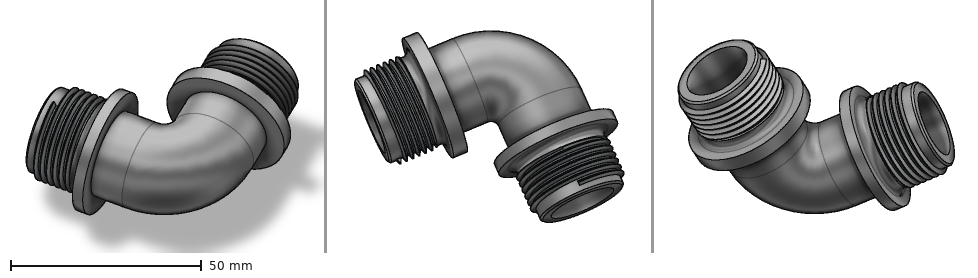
import cadquery as cq

overall_size = 59.0
flange_radius = 34.0 / 2
pipe_radius = 23.8 / 2
bore_radius = 17.8 / 2
bend_radius = 14.0

arm_length = overall_size - flange_radius
end_chamfer = 0.55
flange_face = 25.95
x_flange_thickness = 3.0
y_flange_thickness = 4.0

neck_fillet = 1.75
neck_length = 2.85
neck_foot_radius = 14.2
neck_end = flange_face + neck_length
neck_waist_radius = neck_foot_radius - neck_fillet
neck_rise = (neck_fillet**2 - (neck_length - neck_fillet) ** 2) ** 0.5
neck_end_radius = neck_foot_radius - neck_rise

thread_turns = 6
thread_length = 10.85
thread_pitch = thread_length / thread_turns
thread_start_gap = 2.65
thread_radius = 13.15
thread_base_width = 1.4
thread_crest_width = 0.2
thread_overlap = 0.1


def arm_body(flange_thickness):
    """Hollow arm along +Z: pipe, flange, concave neck and chamfered end."""
    profile = (
        cq.Workplane("XZ")
        .moveTo(bore_radius, bend_radius)
        .lineTo(pipe_radius, bend_radius)
        .lineTo(pipe_radius, flange_face - flange_thickness)
        .lineTo(flange_radius, flange_face - flange_thickness)
        .lineTo(flange_radius, flange_face)
        .lineTo(neck_foot_radius, flange_face)
        .threePointArc((neck_waist_radius, flange_face + neck_fillet), (neck_end_radius, neck_end))
        .lineTo(pipe_radius, neck_end)
        .lineTo(pipe_radius, arm_length - end_chamfer)
        .lineTo(pipe_radius - end_chamfer, arm_length)
        .lineTo(bore_radius, arm_length)
        .close()
    )
    return profile.revolve(360, (0, 0, 0), (0, 1, 0))


def arm_thread():
    """Helical ridge around +Z whose first tooth, nearest the open end, starts on the +X side."""
    helix_base = arm_length - thread_start_gap - thread_length
    root_radius = pipe_radius - thread_overlap
    half_base = thread_base_width / 2
    half_crest = thread_crest_width / 2
    helix = cq.Wire.makeHelix(thread_pitch, thread_length, root_radius)
    tooth = cq.Workplane("XZ").polyline(
        [
            (root_radius, -half_base),
            (thread_radius, -half_crest),
            (thread_radius, half_crest),
            (root_radius, half_base),
        ]
    ).close()
    ridge = tooth.sweep(cq.Workplane(helix), isFrenet=True).translate((0, 0, helix_base))
    zone_base = cq.Workplane("XY", origin=(0, 0, neck_end))
    threaded_zone = zone_base.circle(flange_radius).extrude(arm_length - neck_end)
    return ridge.intersect(threaded_zone)


def arm(flange_thickness, axis, thread_start):
    """Threaded arm turned to point along axis, with its thread starting on the given side."""
    upright = arm_body(flange_thickness).union(arm_thread(), clean=False)
    frame = cq.Plane(origin=(0, 0, 0), xDir=thread_start, normal=axis)
    return cq.Workplane(upright.val().moved(cq.Location(frame)))


def bend():
    """Quarter-torus tube joining the inner ends of the two arms."""
    section = cq.Workplane("YZ", origin=(-bend_radius, 0, 0)).circle(pipe_radius).circle(bore_radius)
    return section.revolve(90, (bend_radius, 0, 0), (bend_radius, 1, 0))


x_arm = arm(x_flange_thickness, axis=(-1, 0, 0), thread_start=(0, 0, 1))
y_arm = arm(y_flange_thickness, axis=(0, 1, 0), thread_start=(-1, 0, 0))
result = bend().union(x_arm, clean=False).union(y_arm, clean=False)